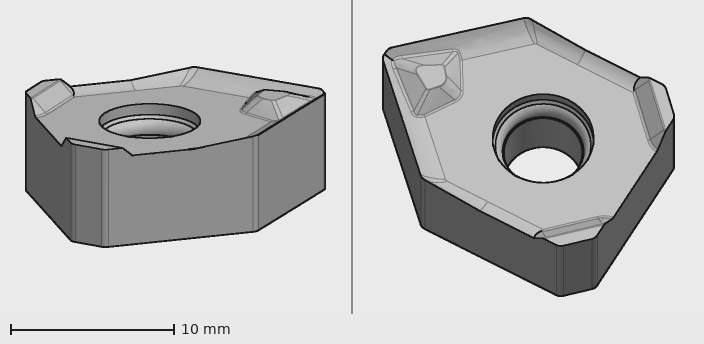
import cadquery as cq
import math

half_width = 6.5
total_length = 17.71
nose_y = 11.21
back_y = nose_y - total_length
shoulder_y = 4.85
corner_radius = 0.57
back_chamfer = 1.61
top_z = 6.35
floor_z = 5.47
margin = 0.18

nose_rim_z = 6.25
side_rim_z = 5.81
rim_drop_y = 0.76
rim_back_y = -3.55
rim_sag = 0.2
rim_crease_radius = 0.89
side_rim_width = 0.97
nose_rim_width = 1.49

pad_reach = 2.73
pad_flank_distance = 6.23
pad_end_radius = 1.42
pad_run = 0.97
pad_top_round = 0.15
pad_foot_radius = 0.27
pad_overhang = 4.43

boss_center_y = 7.62
boss_top = {"front": 9.28, "side": 1.03, "back": 6.75}
boss_base = {"front": 11.78, "side": 3.08, "back": 5.75}
boss_front_radius = 0.89
boss_side_radius = 0.35
boss_back_radius = 1.06
boss_top_round = 0.09
boss_foot_radius = 0.21
boss_foot_end_y = 10.71
boss_foot_top_z = 5.85

bore_radius = 2.4
seat_radius = 3.1
seat_wall_depth = 0.7
seat_lip_radius = 2.92
seat_lip_depth = 0.92
seat_depth = 1.79
seat_inner_radius = 2.5

apex_y = 11.55
half_angle = math.atan2(half_width, apex_y - shoulder_y)
nose_radius = (apex_y - nose_y) / (1 / math.sin(half_angle) - 1)
flank_slope = (apex_y - shoulder_y) / half_width


def make_prism(height):
    """Rounded house-shaped outline of the insert, extruded up from the bottom face."""
    prism = (
        cq.Workplane("XY")
        .moveTo(0, apex_y)
        .lineTo(half_width, shoulder_y)
        .lineTo(half_width, back_y + back_chamfer)
        .lineTo(half_width - back_chamfer, back_y)
        .lineTo(back_chamfer - half_width, back_y)
        .lineTo(-half_width, back_y + back_chamfer)
        .lineTo(-half_width, shoulder_y)
        .close()
        .extrude(height)
    )
    prism = prism.edges("|Z").edges(">Y").fillet(nose_radius)
    sharp_edges = cq.selectors.BoxSelector(
        (-half_width - margin, back_y - margin, -margin),
        (half_width + margin, shoulder_y + margin, height + margin),
    )
    return prism.edges("|Z").edges(sharp_edges).fillet(corner_radius)


def rim_section(inner, outer, rim_z):
    """Rim section whose top is a concave arc from the inner floor point to the outer edge."""
    start = cq.Vector(*inner, floor_z)
    foot = cq.Vector(*outer, floor_z)
    crest = cq.Vector(*outer, rim_z)
    middle = (start + crest) / 2 - cq.Vector(0, 0, rim_sag * (rim_z - floor_z))
    return cq.Wire.assembleEdges([
        cq.Edge.makeThreePointArc(start, middle, crest),
        cq.Edge.makeLine(crest, foot),
        cq.Edge.makeLine(foot, start),
    ])


def make_rim():
    """Left rim swept through its sections, mirrored to the right side."""
    inner_x = side_rim_width - half_width
    inner_apex_y = apex_y - nose_rim_width / math.sin(half_angle)
    inner_shoulder_y = inner_apex_y + flank_slope * inner_x
    sections = [
        rim_section((inner_x, rim_back_y), (-half_width, rim_back_y), side_rim_z),
        rim_section((inner_x, rim_drop_y), (-half_width, rim_drop_y), side_rim_z),
        rim_section((inner_x, inner_shoulder_y), (-half_width, shoulder_y), nose_rim_z),
        rim_section((0, inner_apex_y), (0, apex_y), nose_rim_z),
    ]
    rim = cq.Workplane()
    for start, end in zip(sections, sections[1:]):
        stretch = cq.Workplane(cq.Solid.makeLoft([start, end], True))
        rim = rim.add(stretch).add(stretch.mirror("YZ"))
    rim = rim.combine()
    for side in (-1, 1):
        crease_middle = (
            side * (half_width - side_rim_width / 2),
            (inner_shoulder_y + shoulder_y) / 2,
            (floor_z + nose_rim_z) / 2,
        )
        crease = cq.selectors.NearestToPointSelector(crease_middle)
        rim = rim.edges(crease).fillet(rim_crease_radius)
    return rim


def make_pad():
    """Left back pad: a diagonal ridge with sloping flank and rounded ends."""
    flank_sum = pad_flank_distance * math.sqrt(2)
    flank_end = pad_reach - flank_sum
    far_x = -half_width - pad_overhang
    far_y = back_y - pad_overhang
    outline = (
        cq.Sketch()
        .polygon([
            (-pad_reach, flank_end),
            (flank_end, -pad_reach),
            (far_x, -pad_reach),
            (far_x, far_y),
            (-pad_reach, far_y),
            (-pad_reach, flank_end),
        ])
        .vertices()
        .fillet(pad_end_radius)
    )
    height = top_z - floor_z
    taper = math.degrees(math.atan2(pad_run, height))
    pad = cq.Workplane("XY", origin=(0, 0, floor_z)).placeSketch(outline).extrude(height, taper=taper)
    pad = pad.faces(">Z").edges().fillet(pad_top_round)
    ground = cq.Workplane("XY").box(
        -4 * far_x, -4 * far_y, floor_z, centered=(True, True, False)
    )
    foot = cq.selectors.BoxSelector(
        (far_x - margin, far_y - margin, floor_z - margin), (0, 0, floor_z + margin)
    )
    return ground.union(pad).edges(foot).fillet(pad_foot_radius)


def boss_outline(size, z):
    """Sharp-cornered kite outline of the boss at one height."""
    points = [
        (0, size["front"], z),
        (size["side"], boss_center_y, z),
        (0, size["back"], z),
        (-size["side"], boss_center_y, z),
    ]
    return cq.Wire.makePolygon([cq.Vector(*point) for point in points], close=True)


def make_boss():
    """Four-sided pyramid frustum with rounded ridges."""
    outlines = [boss_outline(boss_base, floor_z), boss_outline(boss_top, top_z)]
    boss = cq.Workplane(cq.Solid.makeLoft(outlines, True))
    ridges = cq.selectors.BoxSelector(
        (-boss_base["side"], boss_base["back"], floor_z + margin),
        (boss_base["side"], boss_base["front"], top_z - margin),
    )
    boss = boss.edges(ridges).edges("<X or >X").fillet(boss_side_radius)
    boss = boss.edges(ridges).edges(">Y").fillet(boss_front_radius)
    boss = boss.edges(ridges).edges("<Y").fillet(boss_back_radius)
    return boss.faces(">Z").edges().fillet(boss_top_round)


def make_bore():
    """Screw hole with a cylindrical recess and a rounded seat."""
    run = seat_lip_radius - seat_inner_radius
    drop = seat_depth - seat_lip_depth
    seat_bend = (
        seat_inner_radius + run * (1 - math.cos(math.pi / 4)),
        floor_z - seat_depth + drop * math.sin(math.pi / 4),
    )
    return (
        cq.Workplane("XZ")
        .lineTo(bore_radius, 0)
        .lineTo(bore_radius, floor_z - seat_depth)
        .lineTo(seat_inner_radius, floor_z - seat_depth)
        .threePointArc(seat_bend, (seat_lip_radius, floor_z - seat_lip_depth))
        .lineTo(seat_radius, floor_z - seat_wall_depth)
        .lineTo(seat_radius, top_z)
        .lineTo(0, top_z)
        .close()
        .revolve(360, (0, 0), (0, 1))
    )


envelope = make_prism(top_z)
left_pad = make_pad()
result = make_prism(floor_z)
for feature in (make_rim(), make_boss()):
    result = result.union(feature.intersect(envelope))
boss_foot = cq.selectors.BoxSelector(
    (-boss_base["side"], boss_base["back"], floor_z - margin),
    (boss_base["side"], boss_foot_end_y, boss_foot_top_z),
)
result = result.edges(boss_foot).fillet(boss_foot_radius)
for feature in (left_pad, left_pad.mirror("YZ")):
    result = result.union(feature.intersect(envelope))
result = result.cut(make_bore())